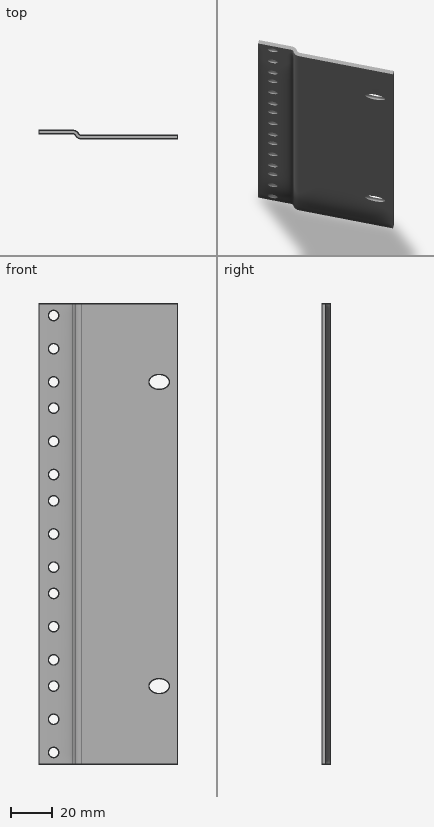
import cadquery as cq
import math

length = 221.5
width = 66.7
thickness = 1.8
depth = 4.2

step = depth - thickness
bend_angle = math.radians(60)
bend_start = 16.2

hole_diameter = 4.9
hole_x = 7.0
hole_spacing = 16.0
group_pitch = 44.5
group_count = 5
holes_per_group = 3

oval_length = 9.7
oval_height = 7.0
oval_x = 57.8
oval_offset_z = 73.0

radius_sum = step / (1 - math.cos(bend_angle))
inner_radius = (radius_sum - thickness) / 2
outer_radius = inner_radius + thickness
bend_end = bend_start + radius_sum * math.sin(bend_angle)


def first_bend_point(radius, flange_y, angle):
    """Point on the bend leaving the narrow flange, after turning by angle."""
    return (
        bend_start + radius * math.sin(angle),
        flange_y - radius * (1 - math.cos(angle)),
    )


def second_bend_point(radius, flange_y, angle):
    """Point on the bend entering the wide flange, with angle still to turn."""
    return (
        bend_end - radius * math.sin(angle),
        flange_y + radius * (1 - math.cos(angle)),
    )


def joggled_plate():
    """Constant-thickness joggled strip extruded along Z, centred on Z = 0."""
    mid_angle = bend_angle / 2
    return (
        cq.Workplane("XY")
        .workplane(offset=-length / 2)
        .moveTo(0, step)
        .lineTo(bend_start, step)
        .threePointArc(
            first_bend_point(inner_radius, step, mid_angle),
            first_bend_point(inner_radius, step, bend_angle),
        )
        .threePointArc(second_bend_point(outer_radius, 0, mid_angle), (bend_end, 0))
        .lineTo(width, 0)
        .lineTo(width, thickness)
        .lineTo(bend_end, thickness)
        .threePointArc(
            second_bend_point(inner_radius, thickness, mid_angle),
            second_bend_point(inner_radius, thickness, bend_angle),
        )
        .threePointArc(first_bend_point(outer_radius, depth, mid_angle), (bend_start, depth))
        .lineTo(0, depth)
        .close()
        .extrude(length)
    )


def hole_cutters():
    """Cylinders through the narrow flange along Y."""
    centres = []
    for group in range(group_count):
        group_z = (group - (group_count - 1) / 2) * group_pitch
        for hole in range(holes_per_group):
            offset_z = (hole - (holes_per_group - 1) / 2) * hole_spacing
            centres.append((hole_x, group_z + offset_z))
    return cq.Workplane("XZ").pushPoints(centres).circle(hole_diameter / 2).extrude(-depth)


def oval_cutters():
    """Elliptical openings through the wide flange along Y."""
    centres = [(oval_x, -oval_offset_z), (oval_x, oval_offset_z)]
    return cq.Workplane("XZ").pushPoints(centres).ellipse(oval_length / 2, oval_height / 2).extrude(-depth)


result = joggled_plate().cut(hole_cutters()).cut(oval_cutters())